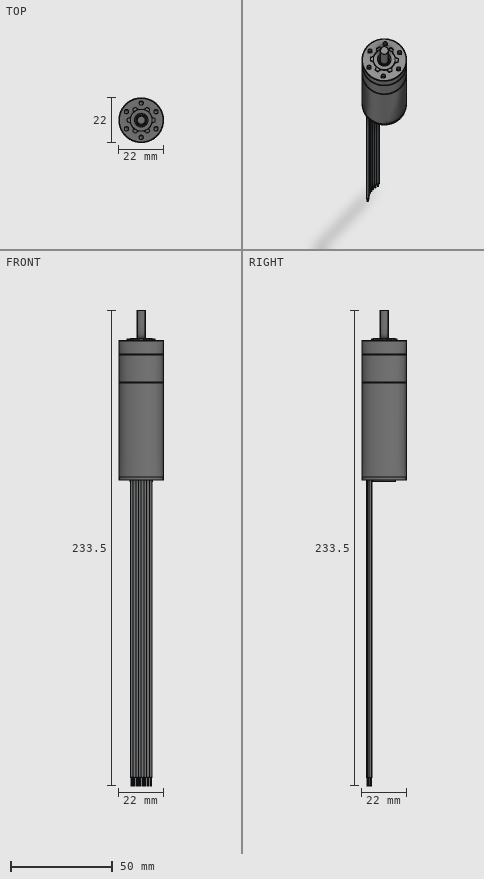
import cadquery as cq
import math

TOTAL_HEIGHT = 233.5
HEAD_TOP = 219.0
HEAD_BOTTOM = 211.9
GEARBOX_BOTTOM = 198.3
END_CAP_TOP = 151.8
MOTOR_BOTTOM = 150.2

HOUSING_DIAMETER = 22.0
HEAD_CHAMFER = 0.2
JOINT_GROOVE_WIDTH = 0.5
JOINT_GROOVE_DEPTH = 0.12
END_CAP_DIAMETER = 21.7
END_DISC_DIAMETER = 11.2
END_DISC_HEIGHT = 0.7

PILOT_DIAMETER = 13.8
PILOT_HEIGHT = 0.7
BOSS_DIAMETER = 10.7
BOSS_HEIGHT = 0.2
BOSS_TOP = HEAD_TOP + PILOT_HEIGHT + BOSS_HEIGHT
SCREW_COUNT = 6
FIRST_SCREW_ANGLE = 90.0
SCREW_CIRCLE_RADIUS = 8.5
SCREW_HOLE_DIAMETER = 2.0
SCREW_HOLE_DEPTH = 3.5
DRILL_TIP_ANGLE = 118.0
SCREW_NOTCH_DIAMETER = 6.8

SHAFT_DIAMETER = 4.0
BORE_DIAMETER = 6.5
BORE_DEPTH = 0.7
INNER_BORE_DIAMETER = 5.1
INNER_BORE_DEPTH = 1.5

WIRE_COUNT = 8
WIRE_DIAMETER = 1.33
WIRE_PITCH = WIRE_DIAMETER
WIRE_ARC_RADIUS = 8.2
CORE_DIAMETER = 0.7
BARE_LENGTH = 4.2


def cylinder(diameter, bottom, top, place=(0, 0)):
    """Upright cylinder between two Z levels."""
    return (
        cq.Workplane("XY", origin=(*place, bottom))
        .circle(diameter / 2)
        .extrude(top - bottom)
    )


def joint_groove(middle):
    """Ring that cuts a shallow groove around the housing."""
    bottom = middle - JOINT_GROOVE_WIDTH / 2
    top = middle + JOINT_GROOVE_WIDTH / 2
    core = cylinder(HOUSING_DIAMETER - 2 * JOINT_GROOVE_DEPTH, bottom, top)
    return cylinder(HOUSING_DIAMETER, bottom, top).cut(core)


def make_housing():
    """Gearbox and motor barrel with a narrower end cap and a disc below it."""
    barrel = cylinder(HOUSING_DIAMETER, END_CAP_TOP, HEAD_TOP)
    barrel = barrel.faces(">Z").chamfer(HEAD_CHAMFER)
    for joint in (HEAD_BOTTOM, GEARBOX_BOTTOM):
        barrel = barrel.cut(joint_groove(joint))
    end_cap = cylinder(END_CAP_DIAMETER, MOTOR_BOTTOM, END_CAP_TOP)
    end_disc = cylinder(END_DISC_DIAMETER, MOTOR_BOTTOM - END_DISC_HEIGHT, MOTOR_BOTTOM)
    return barrel.union(end_cap).union(end_disc)


def screw_places():
    """Centres of the screw holes."""
    places = []
    for i in range(SCREW_COUNT):
        angle = math.radians(FIRST_SCREW_ANGLE + i * 360 / SCREW_COUNT)
        places.append((SCREW_CIRCLE_RADIUS * math.cos(angle), SCREW_CIRCLE_RADIUS * math.sin(angle)))
    return places


def make_pilot():
    """Pilot notched into lobes beside the screw holes, with the round boss on top."""
    pilot_top = HEAD_TOP + PILOT_HEIGHT
    pilot = cylinder(PILOT_DIAMETER, HEAD_TOP, pilot_top)
    for place in screw_places():
        pilot = pilot.cut(cylinder(SCREW_NOTCH_DIAMETER, HEAD_TOP, pilot_top, place))
    return pilot.union(cylinder(BOSS_DIAMETER, HEAD_TOP, BOSS_TOP))


def screw_hole(place):
    """Blind drilled hole with a conical bottom."""
    radius = SCREW_HOLE_DIAMETER / 2
    tip_height = radius / math.tan(math.radians(DRILL_TIP_ANGLE / 2))
    profile = [
        (0, 0),
        (radius, 0),
        (radius, -SCREW_HOLE_DEPTH),
        (0, -SCREW_HOLE_DEPTH - tip_height),
    ]
    return (
        cq.Workplane("XZ", origin=(*place, HEAD_TOP))
        .polyline(profile)
        .close()
        .revolve(360, (0, 0), (0, 1))
    )


def make_gearmotor():
    """Complete gearmotor with its output shaft."""
    body = make_housing().union(make_pilot())
    for place in screw_places():
        body = body.cut(screw_hole(place))
    body = body.cut(cylinder(BORE_DIAMETER, BOSS_TOP - BORE_DEPTH, BOSS_TOP))
    body = body.cut(cylinder(INNER_BORE_DIAMETER, BOSS_TOP - INNER_BORE_DEPTH, BOSS_TOP))
    return body.union(cylinder(SHAFT_DIAMETER, HEAD_BOTTOM, TOTAL_HEIGHT))


def make_wire(x):
    """Insulated wire hanging from the motor, with a bare core at its lower end."""
    place = (x, -math.sqrt(WIRE_ARC_RADIUS**2 - x**2))
    insulation = cylinder(WIRE_DIAMETER, BARE_LENGTH, MOTOR_BOTTOM, place)
    return insulation.union(cylinder(CORE_DIAMETER, 0, BARE_LENGTH, place))


gearmotor = make_gearmotor()

first_wire_x = -WIRE_PITCH * (WIRE_COUNT - 1) / 2
wires = [make_wire(first_wire_x + i * WIRE_PITCH) for i in range(WIRE_COUNT)]

result = cq.Compound.makeCompound([gearmotor.val(), *[wire.val() for wire in wires]])